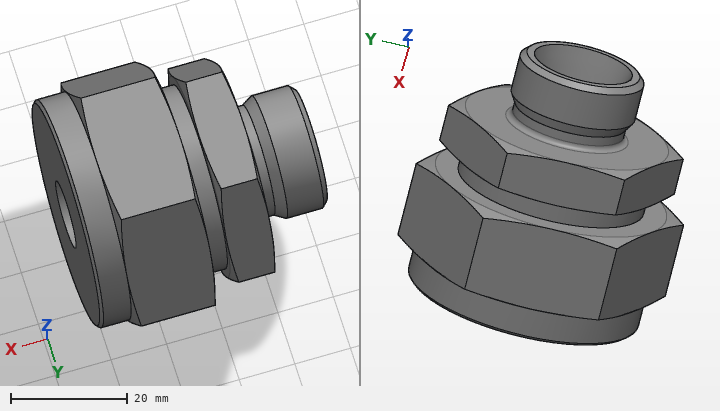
import cadquery as cq
import math

spigot_end = 7.5
groove_start = 9.35
small_hex_start = 12.0
small_hex_end = 20.0
large_hex_start = 23.5
large_hex_end = 38.5
total_length = 44.0

spigot_radius = 11.0
spigot_chamfer = 1.0
groove_radius = 9.85
groove_fillet = 1.0
neck_radius = 16.47
collar_radius = 20.4
collar_chamfer = 0.5

small_hex_flats = 36.0
large_hex_flats = 41.0
hex_chamfer_angle = 15.0

bore_radius = 6.0
seat_radius = 7.5
seat_depth = 7.0
mouth_radius = 8.65
cone_half_angle = 12.0


def turn(profile):
    """Revolve an (x, radius) profile about the X axis."""
    return profile.close().revolve(360, (0, 0, 0), (1, 0, 0))


def chamfered_hexagon(start, end, flats):
    """Hexagon along X with corners on +Y and -Y, its corners turned down at both ends."""
    face_radius = flats / 2
    corner_radius = face_radius / math.cos(math.radians(30))
    corner_drop = (corner_radius - face_radius) * math.tan(math.radians(hex_chamfer_angle))
    prism = (
        cq.Workplane("YZ", origin=(start, 0, 0))
        .polygon(6, 2 * corner_radius)
        .extrude(end - start)
    )
    envelope = turn(
        cq.Workplane("XY")
        .moveTo(start, 0)
        .lineTo(start, face_radius)
        .lineTo(start + corner_drop, corner_radius)
        .lineTo(end - corner_drop, corner_radius)
        .lineTo(end, face_radius)
        .lineTo(end, 0)
    )
    return prism.intersect(envelope)


def turned_body():
    """Spigot, undercut groove, neck and collar as one turned piece."""
    fillet_center = (small_hex_start - groove_fillet, groove_radius + groove_fillet)
    fillet_reach = groove_fillet * math.sqrt(0.5)
    fillet_middle = (fillet_center[0] + fillet_reach, fillet_center[1] - fillet_reach)
    return turn(
        cq.Workplane("XY")
        .moveTo(0, 0)
        .lineTo(0, spigot_radius - spigot_chamfer)
        .lineTo(spigot_chamfer, spigot_radius)
        .lineTo(spigot_end, spigot_radius)
        .lineTo(groove_start, groove_radius)
        .lineTo(fillet_center[0], groove_radius)
        .threePointArc(fillet_middle, (small_hex_start, fillet_center[1]))
        .lineTo(small_hex_start, neck_radius)
        .lineTo(large_hex_start, neck_radius)
        .lineTo(large_hex_start, collar_radius)
        .lineTo(total_length - collar_chamfer, collar_radius)
        .lineTo(total_length, collar_radius - collar_chamfer)
        .lineTo(total_length, 0)
    )


def stepped_bore():
    """Coned mouth, straight tube seat and a plain through bore."""
    cone_depth = (mouth_radius - seat_radius) / math.tan(math.radians(cone_half_angle))
    return turn(
        cq.Workplane("XY")
        .moveTo(0, 0)
        .lineTo(0, mouth_radius)
        .lineTo(cone_depth, seat_radius)
        .lineTo(seat_depth, seat_radius)
        .lineTo(seat_depth, bore_radius)
        .lineTo(total_length, bore_radius)
        .lineTo(total_length, 0)
    )


small_hex = chamfered_hexagon(small_hex_start, small_hex_end, small_hex_flats)
large_hex = chamfered_hexagon(large_hex_start, large_hex_end, large_hex_flats)

result = turned_body().union(small_hex).union(large_hex).cut(stepped_bore())